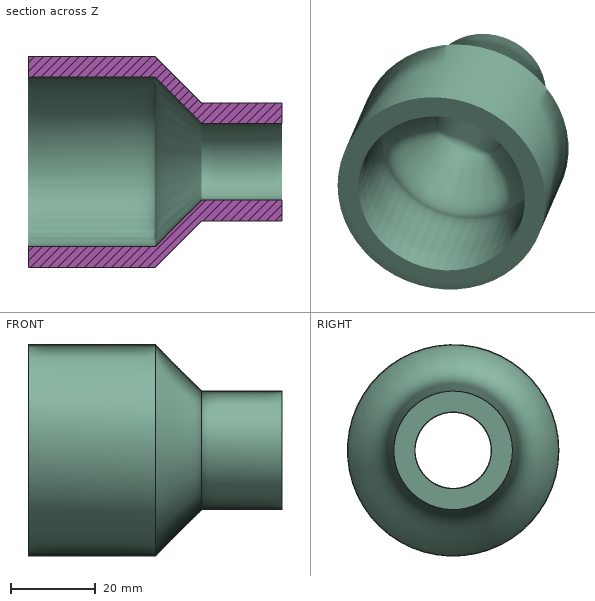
import cadquery as cq

total_length = 60.0
large_length = 30.0
large_outer_diameter = 50.0
large_bore_diameter = 40.0
small_outer_diameter = 28.0
small_bore_diameter = 18.0

taper_length = (large_outer_diameter - small_outer_diameter) / 2
taper_end = large_length + taper_length


def stepped_cone(large_diameter, small_diameter):
    """Solid of revolution: large cylinder, cone, then small cylinder."""
    large_radius = large_diameter / 2
    small_radius = small_diameter / 2
    return (
        cq.Workplane("XY")
        .moveTo(0, 0)
        .lineTo(0, large_radius)
        .lineTo(large_length, large_radius)
        .lineTo(taper_end, small_radius)
        .lineTo(total_length, small_radius)
        .lineTo(total_length, 0)
        .close()
        .revolve(360, (0, 0, 0), (1, 0, 0))
    )


outer_body = stepped_cone(large_outer_diameter, small_outer_diameter)
bore = stepped_cone(large_bore_diameter, small_bore_diameter)
result = outer_body.cut(bore)